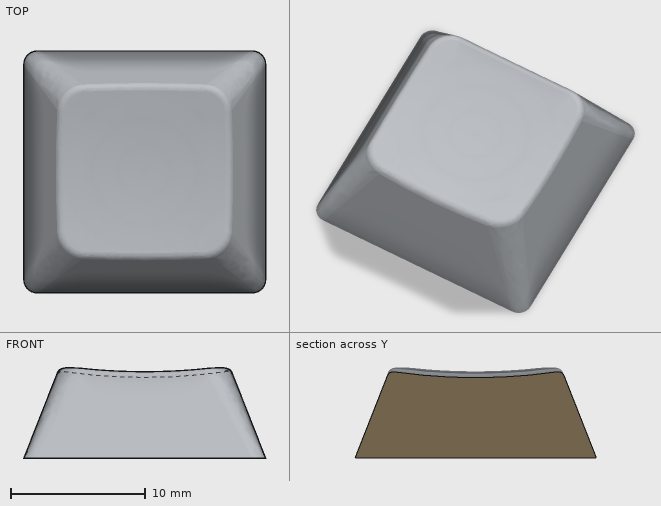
import cadquery as cq

base_width = 18.0
base_corner_radius = 1.0
top_width = 12.5
top_corner_radius = 2.0
loft_height = 7.0

dish_radius = 42.3
dish_floor = 6.01
rim_fillet = 0.5


def rounded_square(width, corner_radius):
    return cq.Sketch().rect(width, width).vertices().fillet(corner_radius)


def make_body():
    """Key body that tapers evenly from the base up to the smaller top."""
    base = rounded_square(base_width, base_corner_radius)
    top = rounded_square(top_width, top_corner_radius).moved(cq.Location(cq.Vector(0, 0, loft_height)))
    return cq.Workplane("XY").placeSketch(base, top).loft(ruled=True)


def make_dish():
    """Sphere whose lowest point is the floor of the dish."""
    return cq.Workplane("XY").sphere(dish_radius).translate((0, 0, dish_floor + dish_radius))


dished = make_body().cut(make_dish())
result = dished.faces(">Z").edges().fillet(rim_fillet)